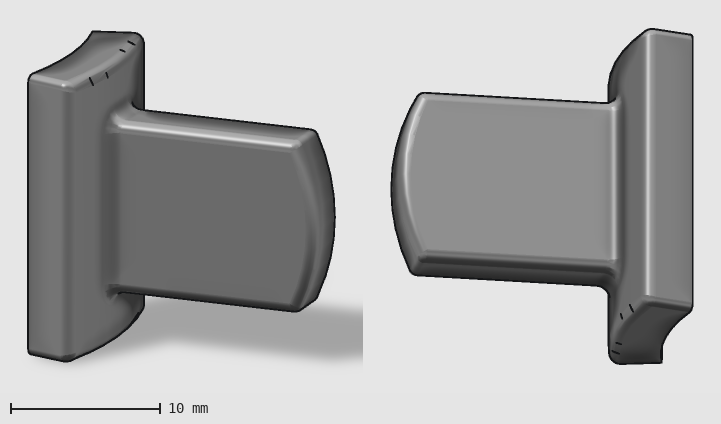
import cadquery as cq
import math

total_length = 19.23
plate_height = 19.6

inner_radius = 22.0
plate_thickness = 3.5
inner_half_width = 5.85
corner_radius = 0.55
edge_radius = 0.75

stem_thickness = 4.0
stem_height = 12.0
end_radius = 13.23
root_radius = 1.0
joint_margin = 0.02

half_angle = math.asin(inner_half_width / inner_radius)
axis_x = -inner_radius * math.cos(half_angle)
outer_radius = inner_radius + plate_thickness


def plate_point(radius, angle):
    return (axis_x + radius * math.cos(angle), radius * math.sin(angle))


def make_plate():
    plate = (
        cq.Workplane("XY")
        .moveTo(*plate_point(inner_radius, -half_angle))
        .lineTo(*plate_point(outer_radius, -half_angle))
        .threePointArc(plate_point(outer_radius, 0), plate_point(outer_radius, half_angle))
        .lineTo(*plate_point(inner_radius, half_angle))
        .threePointArc(plate_point(inner_radius, 0), plate_point(inner_radius, -half_angle))
        .close()
        .extrude(plate_height / 2, both=True)
    )
    corner_edges = plate.faces("|Z").edges("%LINE")
    plate = corner_edges.fillet(corner_radius)
    return plate.faces(">X").edges().fillet(edge_radius)


def make_stem():
    start_x = axis_x + inner_radius + plate_thickness / 2
    half_height = stem_height / 2
    end_sag = end_radius - math.sqrt(end_radius**2 - half_height**2)
    shoulder_x = total_length - end_sag
    stem = (
        cq.Workplane("XZ")
        .moveTo(start_x, -half_height)
        .lineTo(shoulder_x, -half_height)
        .threePointArc((total_length, 0), (shoulder_x, half_height))
        .lineTo(start_x, half_height)
        .close()
        .extrude(stem_thickness / 2, both=True)
    )
    stem = stem.edges("|Y").edges("not <X").fillet(corner_radius)
    return stem.faces("|Y").edges("not <X").fillet(edge_radius)


def on_root(edge):
    """True for the edges where the stem meets the outer face of the plate."""
    box = edge.BoundingBox()
    within_thickness = max(box.ymax, -box.ymin) < stem_thickness / 2 + joint_margin
    within_height = max(box.zmax, -box.zmin) < stem_height / 2 + joint_margin
    on_plate = box.xmax < axis_x + outer_radius + joint_margin
    return within_thickness and within_height and on_plate


body = make_plate().union(make_stem())
root_edges = [edge for edge in body.edges().vals() if on_root(edge)]
result = body.newObject(root_edges).fillet(root_radius)